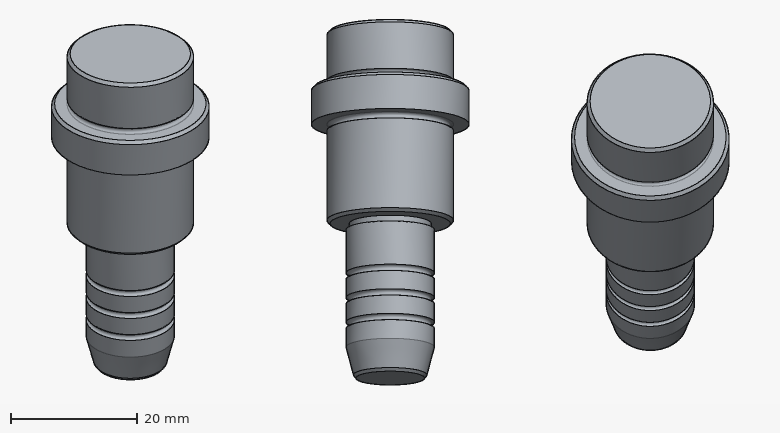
import cadquery as cq

FLANGE_RADIUS = 12.5
BODY_RADIUS = 10.0
SHANK_RADIUS = 7.0
CONE_END_RADIUS = 5.8
TIP_RADIUS = 5.45

TOTAL_HEIGHT = 56
FLANGE_TOP = 47.0
FLANGE_BOTTOM = 41.0
COLLAR_BOTTOM = 25.0
CONE_TOP = 5.0

CHAMFER = 0.5
GROOVE_RADIUS = 0.5
GROOVE_WIDTH = 2 * GROOVE_RADIUS
BARB_PITCH = 4.0
BARB_GROOVE_COUNT = 3
LOWEST_BARB_GROOVE_Z = 8.5


def cylinder(radius, bottom, top):
    """Upright cylinder between two heights."""
    return cq.Workplane("XY").workplane(offset=bottom).circle(radius).extrude(top - bottom)


def round_groove(radius, middle):
    """Ring that cuts a half-round groove into a cylinder of the given radius."""
    return (
        cq.Workplane("XZ")
        .center(radius, middle)
        .circle(GROOVE_RADIUS)
        .revolve(360, (-radius, 0, 0), (-radius, 1, 0))
    )


head = cylinder(BODY_RADIUS, FLANGE_TOP, TOTAL_HEIGHT).faces(">Z").chamfer(CHAMFER)
head = head.cut(round_groove(BODY_RADIUS, FLANGE_TOP + GROOVE_RADIUS))

flange = cylinder(FLANGE_RADIUS, FLANGE_BOTTOM, FLANGE_TOP).faces(">Z").chamfer(CHAMFER)

collar = cylinder(BODY_RADIUS, COLLAR_BOTTOM, FLANGE_BOTTOM).faces("<Z").chamfer(CHAMFER)
collar = collar.cut(round_groove(BODY_RADIUS, FLANGE_BOTTOM - GROOVE_RADIUS))

neck_radius = SHANK_RADIUS - GROOVE_RADIUS
neck_bottom = COLLAR_BOTTOM - GROOVE_WIDTH
shank_outline = [
    (0, 0),
    (TIP_RADIUS, 0),
    (CONE_END_RADIUS, CHAMFER),
    (SHANK_RADIUS, CONE_TOP),
    (SHANK_RADIUS, neck_bottom),
    (neck_radius, neck_bottom),
    (neck_radius, COLLAR_BOTTOM),
    (0, COLLAR_BOTTOM),
]
shank = cq.Workplane("XZ").polyline(shank_outline).close().revolve(360, (0, 0, 0), (0, 1, 0))

for index in range(BARB_GROOVE_COUNT):
    shank = shank.cut(round_groove(SHANK_RADIUS, LOWEST_BARB_GROOVE_Z + index * BARB_PITCH))

result = head.union(flange).union(collar).union(shank)